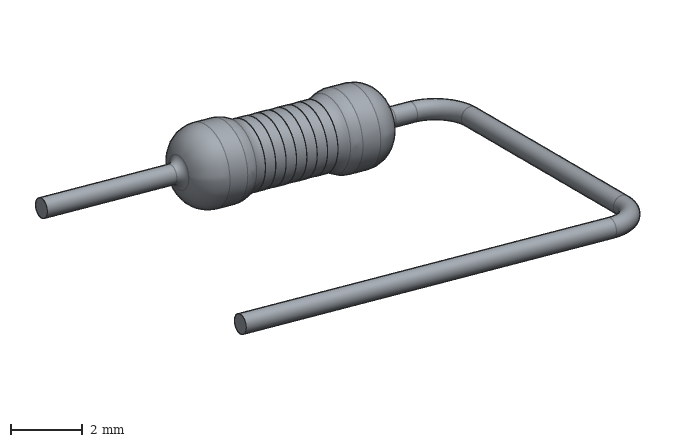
import cadquery as cq
import math

wire_diameter = 0.6
wire_radius = wire_diameter / 2
lead_pitch = 10.0
overall_length = 13.9
bend_radius = 1.18

body_center = 8.02
cap_radius = 2.5 / 2
waist_radius = 2.13 / 2
band_radius = 2.14 / 2
band_width = 0.35
band_count = 4
waist_length = band_width * (2 * band_count - 1)
dome_start = 2.53
cap_inner_edge = 1.93
dome_radius = 0.9
dome_end_radius = 0.51


def make_wire():
    """Round wire: up the body axis, across, and back down."""
    top = overall_length - wire_radius
    inset = bend_radius * (1 - math.sqrt(0.5))
    path = (
        cq.Workplane("XY")
        .moveTo(0, 0)
        .lineTo(0, top - bend_radius)
        .threePointArc((inset, top - inset), (bend_radius, top))
        .lineTo(lead_pitch - bend_radius, top)
        .threePointArc((lead_pitch - inset, top - inset), (lead_pitch, top - bend_radius))
        .lineTo(lead_pitch, 0)
    )
    return cq.Workplane("XZ").circle(wire_radius).sweep(path)


def make_body_end():
    """One end of the body: S-shaped shoulder, cap, dome and neck fillet."""
    waist_end = waist_length / 2
    shoulder_middle = ((waist_radius + cap_radius) / 2, (waist_end + cap_inner_edge) / 2)

    rise = shoulder_middle[0] - waist_radius
    run = shoulder_middle[1] - waist_end
    shoulder_radius = (rise**2 + run**2) / (2 * rise)
    half_turn = math.asin(run / shoulder_radius) / 2
    shoulder_quarter = (
        waist_radius + shoulder_radius * (1 - math.cos(half_turn)),
        waist_end + shoulder_radius * math.sin(half_turn),
    )

    dome_center = cap_radius - dome_radius
    dome_sine = (dome_end_radius - dome_center) / dome_radius
    dome_cosine = math.sqrt(1 - dome_sine**2)
    dome_end = dome_start + dome_radius * dome_cosine
    neck_radius = (dome_end_radius - wire_radius) / (1 - dome_sine)
    neck_end = dome_start + (dome_radius + neck_radius) * dome_cosine

    profile = (
        cq.Workplane("XY")
        .moveTo(0, waist_end)
        .lineTo(waist_radius, waist_end)
        .threePointArc(shoulder_quarter, shoulder_middle)
        .tangentArcPoint((cap_radius, cap_inner_edge), relative=False)
        .lineTo(cap_radius, dome_start)
        .tangentArcPoint((dome_end_radius, dome_end), relative=False)
        .tangentArcPoint((wire_radius, neck_end), relative=False)
        .lineTo(0, neck_end)
        .close()
    )
    return profile.revolve(360, (0, 0, 0), (0, 1, 0))


def make_waist_cylinder(radius, length, offset):
    """Cylinder on the body axis, centered at an offset from the body center."""
    start = body_center + offset - length / 2
    return cq.Workplane("XZ", origin=(0, start, 0)).circle(radius).extrude(-length)


body_end = make_body_end()
body = make_waist_cylinder(waist_radius, waist_length, 0)
body = body.union(body_end.translate((0, body_center, 0)))
body = body.union(body_end.mirror("XZ").translate((0, body_center, 0)))

for index in range(band_count):
    band_offset = 2 * band_width * (index - (band_count - 1) / 2)
    body = body.union(make_waist_cylinder(band_radius, band_width, band_offset))

result = body.union(make_wire())